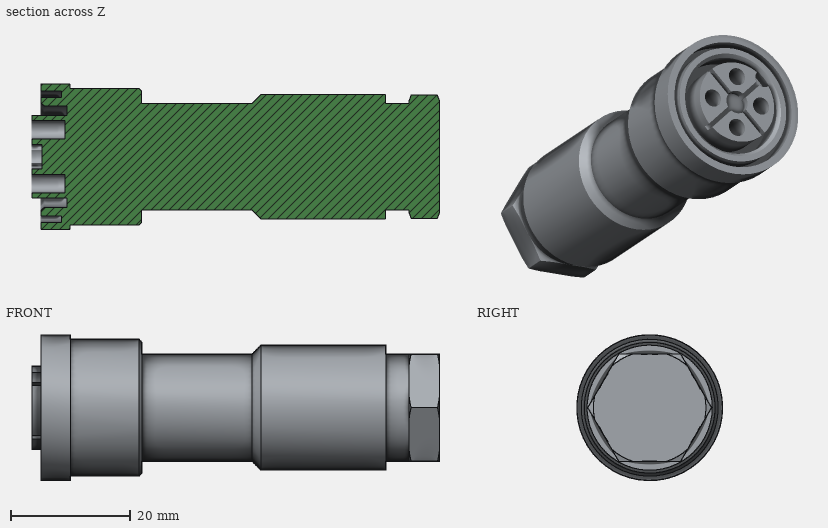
import cadquery as cq
import math

length = 68.5
flange_start = 1.5
flange_end = 6.45
collar_end = 18.5
neck_end = 37.0
grip_end = 59.45
nut_start = 63.35

flange_dia = 24.5
collar_dia = 23.0
neck_dia = 18.0
grip_dia = 21.0
collar_chamfer = 0.515
grip_taper_end = neck_end + (grip_dia - neck_dia) / 2

nut_across_flats = neck_dia
nut_across_corners = nut_across_flats / math.cos(math.pi / 6)
nut_end_dia = 18.9
nut_chamfer_length = 0.35

groove_outer_dia = 22.0
groove_inner_dia = 20.0
groove_depth = 3.4
socket_mouth_dia = 18.0
socket_dia = 16.9
mouth_depth = 0.6
socket_depth = 4.4

insert_dia = 14.0
contact_dia = 3.0
contact_circle_radius = 4.5
contact_count = 4
contact_depth = 5.5
slot_width = 0.8
slot_depth = 1.65
centre_dia = 4.0
key_dia = 3.0
key_centre_radius = 7.0


def disc(start, end, diameter):
    """Cylinder on the X axis between two stations."""
    return cq.Workplane("YZ", origin=(start, 0, 0)).circle(diameter / 2).extrude(end - start)


def cone(start, end, start_dia, end_dia):
    """Solid taper on the X axis between two stations."""
    profile = [(start, 0), (start, start_dia / 2), (end, end_dia / 2), (end, 0)]
    return cq.Workplane("XY").polyline(profile).close().revolve(360, (0, 0), (1, 0))


def make_body():
    """Stepped round body from the flange to the gland in front of the nut."""
    flange = disc(flange_start, flange_end, flange_dia)
    collar = disc(flange_end, collar_end, collar_dia).faces(">X").chamfer(collar_chamfer)
    neck = disc(collar_end, nut_start, neck_dia)
    taper = cone(neck_end, grip_taper_end, neck_dia, grip_dia)
    grip = disc(grip_taper_end, grip_end, grip_dia)
    return flange.union(collar).union(neck).union(taper).union(grip)


def make_nut():
    """Hexagon with flats facing +Z and -Z and corners trimmed at both ends."""
    hexagon = (
        cq.Workplane("YZ", origin=(nut_start, 0, 0))
        .polygon(6, nut_across_corners)
        .extrude(length - nut_start)
    )
    front = nut_start + nut_chamfer_length
    back = length - nut_chamfer_length
    envelope = cone(nut_start, front, nut_end_dia, nut_across_corners)
    envelope = envelope.union(disc(front, back, nut_across_corners))
    envelope = envelope.union(cone(back, length, nut_across_corners, nut_end_dia))
    return hexagon.intersect(envelope)


def make_socket():
    """Space removed from the front of the flange."""
    groove_floor = flange_start + groove_depth
    mouth_end = flange_start + mouth_depth
    groove = disc(flange_start, groove_floor, groove_outer_dia)
    groove = groove.cut(disc(flange_start, groove_floor, groove_inner_dia))
    mouth = cone(flange_start, mouth_end, socket_mouth_dia, socket_dia)
    bore = disc(mouth_end, flange_start + socket_depth, socket_dia)
    return groove.union(mouth).union(bore)


def make_insert():
    """Round insert with four contact holes, crossed slots, a centre recess and a key notch."""
    insert = disc(0, flange_start + socket_depth, insert_dia)
    contacts = (
        cq.Workplane("YZ")
        .polarArray(contact_circle_radius, 0, 360, contact_count)
        .circle(contact_dia / 2)
        .extrude(contact_depth)
    )
    slot = cq.Workplane("YZ").rect(insert_dia, slot_width).extrude(slot_depth)
    for angle in (45, 135):
        insert = insert.cut(slot.rotate((0, 0, 0), (1, 0, 0), angle))
    offset = key_centre_radius * math.sqrt(0.5)
    key = disc(0, slot_depth, key_dia).translate((0, -offset, offset))
    return insert.cut(contacts).cut(disc(0, slot_depth, centre_dia)).cut(key)


result = make_body().union(make_nut()).cut(make_socket()).union(make_insert())